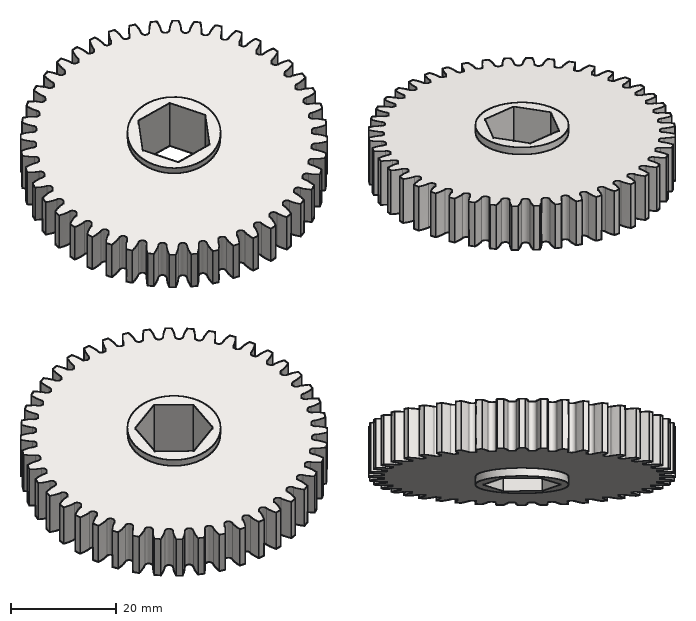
import cadquery as cq
import math

TOOTH_COUNT = 44
SIDE_TO_SIDE = 58.35
PRESSURE_ANGLE = math.radians(14.5)
FACE_WIDTH = 9.55
TOTAL_HEIGHT = 12.65
HUB_DIAMETER = 17.75
HEX_ACROSS_FLATS = 12.85
FLANK_SPANS = 4


def involute(angle):
    """Involute function of a pressure angle."""
    return math.tan(angle) - angle


def polar(radius, angle):
    """Point at a radius and an angle about the gear axis."""
    return (radius * math.cos(angle), radius * math.sin(angle))


def mirrored(point):
    """Mirror a point across the X axis, the middle of the first tooth gap."""
    return (point[0], -point[1])


def turned(point, angle):
    """Rotate a point about the gear axis."""
    return polar(math.hypot(*point), math.atan2(point[1], point[0]) + angle)


TOOTH_PITCH = 2 * math.pi / TOOTH_COUNT
BASE_GAP_ANGLE = TOOTH_PITCH / 4 - involute(PRESSURE_ANGLE)
BASE_TO_TIP = TOOTH_COUNT / (TOOTH_COUNT + 2) * math.cos(PRESSURE_ANGLE)
TIP_PRESSURE_ANGLE = math.acos(BASE_TO_TIP)
TIP_GAP_ANGLE = BASE_GAP_ANGLE + involute(TIP_PRESSURE_ANGLE)

TIP_RADIUS = SIDE_TO_SIDE / 2 / math.cos(TIP_GAP_ANGLE)
BASE_RADIUS = TIP_RADIUS * BASE_TO_TIP

ROOT_ROUND_RADIUS = BASE_RADIUS * math.tan(BASE_GAP_ANGLE)
ROOT_RADIUS = BASE_RADIUS / math.cos(BASE_GAP_ANGLE) - ROOT_ROUND_RADIUS


def flank_points():
    """Involute flank of the first gap, from the base circle out to the tip."""
    points = []
    for i in range(FLANK_SPANS + 1):
        roll = math.tan(TIP_PRESSURE_ANGLE) * i / FLANK_SPANS
        pressure = math.atan(roll)
        points.append(polar(BASE_RADIUS / math.cos(pressure), BASE_GAP_ANGLE + involute(pressure)))
    return points


def gear_outline():
    """Closed outline: for each tooth, a gap with a round root and then the tip arc."""
    flank = flank_points()

    outline = cq.Workplane("XY").workplane(offset=-FACE_WIDTH / 2).moveTo(*mirrored(flank[-1]))
    for tooth in range(TOOTH_COUNT):
        turn = tooth * TOOTH_PITCH
        inward = [turned(mirrored(point), turn) for point in reversed(flank)]
        outward = [turned(point, turn) for point in flank]
        outline = (
            outline
            .spline(inward[1:], includeCurrent=True)
            .threePointArc(polar(ROOT_RADIUS, turn), outward[0])
            .spline(outward[1:], includeCurrent=True)
            .threePointArc(
                polar(TIP_RADIUS, turn + TOOTH_PITCH / 2),
                polar(TIP_RADIUS, turn + TOOTH_PITCH - TIP_GAP_ANGLE),
            )
        )
    return outline.close()


gear = gear_outline().extrude(FACE_WIDTH)
hub_base = cq.Workplane("XY").workplane(offset=-TOTAL_HEIGHT / 2)
hub = hub_base.circle(HUB_DIAMETER / 2).extrude(TOTAL_HEIGHT)

HEX_ACROSS_CORNERS = HEX_ACROSS_FLATS / math.cos(math.pi / 6)
bore = (
    hub_base.transformed(rotate=(0, 0, 90))
    .polygon(6, HEX_ACROSS_CORNERS)
    .extrude(TOTAL_HEIGHT)
)

result = gear.union(hub).cut(bore)